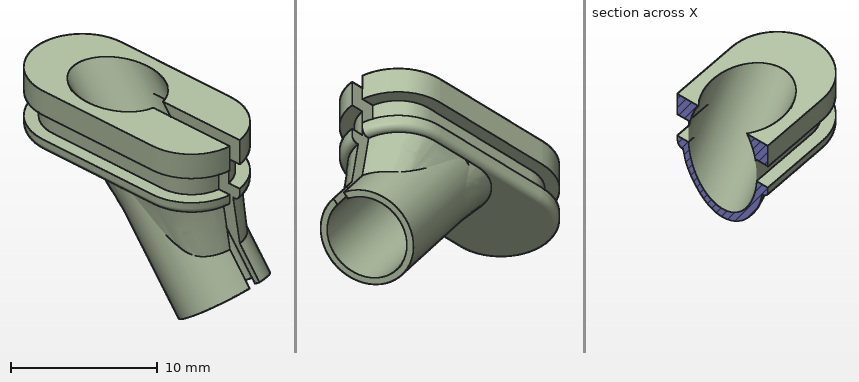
import cadquery as cq
import math

END_SPACING = 10.0
HEAD_WIDTH = 8.0
NECK_WIDTH = 6.0
HEAD_HEIGHT = 2.0
NECK_HEIGHT = 2.0
FLANGE_HEIGHT = 1.0
FLANGE_FILLET = 0.5
FLANGE_TOP_Z = -(HEAD_HEIGHT + NECK_HEIGHT)
FLANGE_BOTTOM_Z = FLANGE_TOP_Z - FLANGE_HEIGHT

TUBE_TILT = 37.0
TUBE_START_X = 2.0
TUBE_LENGTH = 10.0
TUBE_DIAMETER = 7.0
BORE_DIAMETER = 6.0
SLOT_WIDTH = 1.0
CUT_REACH = 20.0

GUSSET_CENTRE_X = 2.9
GUSSET_WIDTH = TUBE_DIAMETER
GUSSET_LENGTH = 11.0
GUSSET_TIP_DEPTH = 8.0
GUSSET_TIP_DIAMETER = BORE_DIAMETER


def stadium(width, height, top_z):
    """Upright stadium-shaped plate hanging down from top_z."""
    plate = cq.Workplane("XY").workplane(offset=top_z)
    return plate.slot2D(END_SPACING + width, width).extrude(-height)


def plug():
    head = stadium(HEAD_WIDTH, HEAD_HEIGHT, 0)
    neck = stadium(NECK_WIDTH, NECK_HEIGHT, -HEAD_HEIGHT)
    flange = stadium(HEAD_WIDTH, FLANGE_HEIGHT, FLANGE_TOP_Z).faces("<Z").edges().fillet(FLANGE_FILLET)
    return head.union(neck).union(flange)


def tube_plane():
    """Plane across the tube: local X points to its upper side, the normal down its axis."""
    tilt = math.radians(TUBE_TILT)
    return cq.Plane(
        origin=(TUBE_START_X, 0, FLANGE_BOTTOM_Z),
        xDir=(math.cos(tilt), 0, math.sin(tilt)),
        normal=(math.sin(tilt), 0, -math.cos(tilt)),
    )


def tube():
    """Tube body, trimmed so that it does not rise beside the neck."""
    body = cq.Workplane(tube_plane()).circle(TUBE_DIAMETER / 2).extrude(TUBE_LENGTH)
    above_flange = (
        cq.Workplane("XY")
        .workplane(offset=FLANGE_TOP_Z)
        .rect(2 * CUT_REACH, 2 * CUT_REACH)
        .extrude(CUT_REACH)
    )
    return body.cut(above_flange)


def gusset():
    root = (
        cq.Workplane("XY")
        .workplane(offset=FLANGE_BOTTOM_Z)
        .center(GUSSET_CENTRE_X, 0)
        .slot2D(GUSSET_LENGTH, GUSSET_WIDTH)
    )
    tip = cq.Workplane(tube_plane()).workplane(offset=GUSSET_TIP_DEPTH).circle(GUSSET_TIP_DIAMETER / 2)
    return cq.Workplane(obj=cq.Solid.makeLoft([root.val(), tip.val()], True))


def bore():
    start = cq.Workplane(tube_plane()).workplane(offset=-CUT_REACH)
    return start.circle(BORE_DIAMETER / 2).extrude(2 * CUT_REACH)


def slot():
    """Slot from the bore axis out through the upper side of the tube and plug."""
    start = cq.Workplane(tube_plane()).workplane(offset=-CUT_REACH)
    return start.center(CUT_REACH / 2, 0).rect(CUT_REACH, SLOT_WIDTH).extrude(2 * CUT_REACH)


result = plug().union(gusset()).union(tube()).cut(bore()).cut(slot())